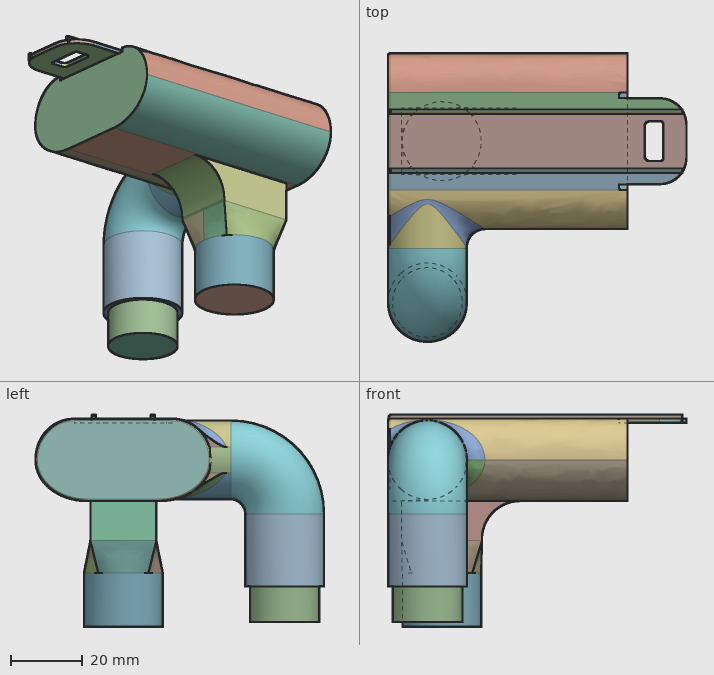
import cadquery as cq
body_length = 66.7
body_half_width = 24.5
body_height = 23.0
body_axis_z = -11.5
top_flat_half_width = 13.6
bottom_flat_half_width = 10.0
end_round = 0.6

tongue_root_x = body_length / 2
tongue_end_x = 83.14
tongue_thickness = 1.2
tongue_half_width = 12.0
tongue_corner_radius = 7.5
relief_length = 2.4
relief_round = 0.7

slot_start_x = 71.5
slot_length = 5.1
slot_width = 11.0
slot_inner_round = 1.3
slot_outer_round = 0.7

rail_start_x = 0.2
rail_end_x = 82.0
rail_offset_y = 8.2
rail_width = 1.3
rail_height = 1.2
rail_tip_round = 0.55
rail_nose_chamfer = 0.6

pipe_diameter = 22.0
pipe_radius = pipe_diameter / 2
pipe_x = pipe_radius
pipe_axis_z = body_axis_z
pipe_end_y = -55.9
bend_radius = 15.0
bend_start_y = pipe_end_y + pipe_radius + bend_radius
pipe_leg_length = 20.2
spigot_diameter = 19.4
spigot_length = 10.0
pipe_blend_radius = 5.0

outlet_x = 15.0
neck_length = 22.4
neck_width = 18.4
neck_fillet = 10.5
neck_bottom_z = -34.0
transition_bottom_z = -43.0
outlet_bottom_z = -58.0


def make_oval(start_x, end_x):
    """Prism along X: flat top and bottom joined by quarter ellipses at both sides."""
    top_round = body_half_width - top_flat_half_width
    bottom_round = body_half_width - bottom_flat_half_width
    top_rise = -body_axis_z
    bottom_drop = body_height + body_axis_z
    return (
        cq.Workplane("YZ", origin=(start_x, 0, 0))
        .moveTo(-top_flat_half_width, 0)
        .lineTo(top_flat_half_width, 0)
        .ellipseArc(top_round, top_rise, 0, 90, sense=-1)
        .ellipseArc(bottom_round, bottom_drop, 270, 360, sense=-1)
        .lineTo(-bottom_flat_half_width, -body_height)
        .ellipseArc(bottom_round, bottom_drop, 180, 270, sense=-1)
        .ellipseArc(top_round, top_rise, 90, 180, sense=-1)
        .close()
        .extrude(end_x - start_x)
    )


def make_body():
    """Oval body with its closed end rounded at the rim."""
    return make_oval(0, body_length).faces("<X").edges().fillet(end_round)


def make_pipe_straight():
    """Run of the side pipe from the middle of the body to the start of the bend."""
    return (
        cq.Workplane("XZ", origin=(pipe_x, 0, pipe_axis_z))
        .circle(pipe_radius)
        .extrude(-bend_start_y)
    )


def make_blended_joint():
    """Body and side pipe with a fillet between them, starting where the rim rounding ends."""
    cutter_size = 4 * body_half_width
    cutter_x = end_round - cutter_size / 2
    surplus = cq.Workplane("XY", origin=(cutter_x, 0, 0)).box(cutter_size, cutter_size, cutter_size)
    pipe = make_pipe_straight().cut(surplus)
    joint = make_oval(end_round, body_length).union(pipe)
    between_seam_and_bend_y = (bend_start_y - body_half_width) / 2
    box_start = (pipe_x / 2, between_seam_and_bend_y, -body_height)
    box_end = (pipe_diameter + end_round, -bottom_flat_half_width, 0)
    seam = cq.selectors.BoxSelector(box_start, box_end)
    return joint.edges(seam).fillet(pipe_blend_radius)


def make_tongue():
    """Thin plate level with the top face, with two rounded outer corners."""
    length = tongue_end_x - tongue_root_x
    return (
        cq.Workplane("XY", origin=(tongue_root_x + length / 2, 0, 0))
        .rect(length, 2 * tongue_half_width)
        .extrude(-tongue_thickness)
        .edges("|Z and >X")
        .fillet(tongue_corner_radius)
    )


def make_slot():
    """Cutter for the slot, rounder on the side towards the body."""
    return (
        cq.Workplane("XY", origin=(slot_start_x + slot_length / 2, 0, 0))
        .rect(slot_length, slot_width)
        .extrude(-tongue_thickness)
        .edges("|Z and <X")
        .fillet(slot_inner_round)
        .edges("|Z and >X")
        .fillet(slot_outer_round)
    )


def make_relief(side):
    """Cutter for the small relief beside the tongue, with one rounded corner."""
    relief_width = top_flat_half_width - tongue_half_width
    relief_y = side * (tongue_half_width + relief_width / 2)
    outer_edge = ">Y" if side > 0 else "<Y"
    return (
        cq.Workplane("XY", origin=(body_length - relief_length / 2, relief_y, 0))
        .rect(relief_length, relief_width)
        .extrude(-tongue_thickness)
        .edges("|Z and <X")
        .edges(outer_edge)
        .fillet(relief_round)
    )


def make_rail(side):
    """Round-topped rail, seated in the body, with a chamfered nose at the closed end."""
    return (
        cq.Workplane("XZ", origin=(0, side * rail_offset_y + rail_width / 2, 0))
        .moveTo(rail_start_x, -end_round)
        .lineTo(rail_end_x, -end_round)
        .lineTo(rail_end_x, rail_height)
        .lineTo(rail_start_x + rail_nose_chamfer, rail_height)
        .lineTo(rail_start_x, rail_height - rail_nose_chamfer)
        .close()
        .extrude(rail_width)
        .faces(">Z")
        .edges("|X")
        .fillet(rail_tip_round)
    )


def make_pipe_bend():
    """Quarter bend turning the side pipe downwards, then its leg and the narrower spigot."""
    bend_end_y = bend_start_y - bend_radius
    bend_end_z = pipe_axis_z - bend_radius
    bend = (
        cq.Workplane("XZ", origin=(pipe_x, bend_start_y, pipe_axis_z))
        .circle(pipe_radius)
        .revolve(90, (-1, -bend_radius), (1, -bend_radius))
    )
    leg = (
        cq.Workplane("XY", origin=(pipe_x, bend_end_y, bend_end_z))
        .circle(pipe_radius)
        .extrude(-pipe_leg_length)
    )
    spigot = (
        cq.Workplane("XY", origin=(pipe_x, bend_end_y, bend_end_z - pipe_leg_length))
        .circle(spigot_diameter / 2)
        .extrude(-spigot_length)
    )
    return bend.union(leg).union(spigot)


def make_outlet():
    """Rectangular neck under the body, changing to a round leg."""
    near_x = outlet_x - neck_length / 2
    far_x = outlet_x + neck_length / 2
    neck = (
        cq.Workplane("XZ", origin=(0, neck_width / 2, 0))
        .moveTo(near_x, body_axis_z)
        .lineTo(far_x + neck_fillet, body_axis_z)
        .lineTo(far_x + neck_fillet, -body_height)
        .radiusArc((far_x, -body_height - neck_fillet), -neck_fillet)
        .lineTo(far_x, neck_bottom_z)
        .lineTo(near_x, neck_bottom_z)
        .close()
        .extrude(neck_width)
    )
    transition = (
        cq.Workplane("XY", origin=(outlet_x, 0, neck_bottom_z))
        .rect(neck_length, neck_width)
        .workplane(offset=transition_bottom_z - neck_bottom_z)
        .circle(pipe_radius)
        .loft()
    )
    leg = (
        cq.Workplane("XY", origin=(outlet_x, 0, transition_bottom_z))
        .circle(pipe_radius)
        .extrude(outlet_bottom_z - transition_bottom_z)
    )
    return neck.union(transition).union(leg)


result = make_body().union(make_blended_joint()).union(make_pipe_straight())
result = result.union(make_pipe_bend()).union(make_outlet()).union(make_tongue())
for side in (-1, 1):
    result = result.cut(make_relief(side)).union(make_rail(side))
result = result.cut(make_slot())